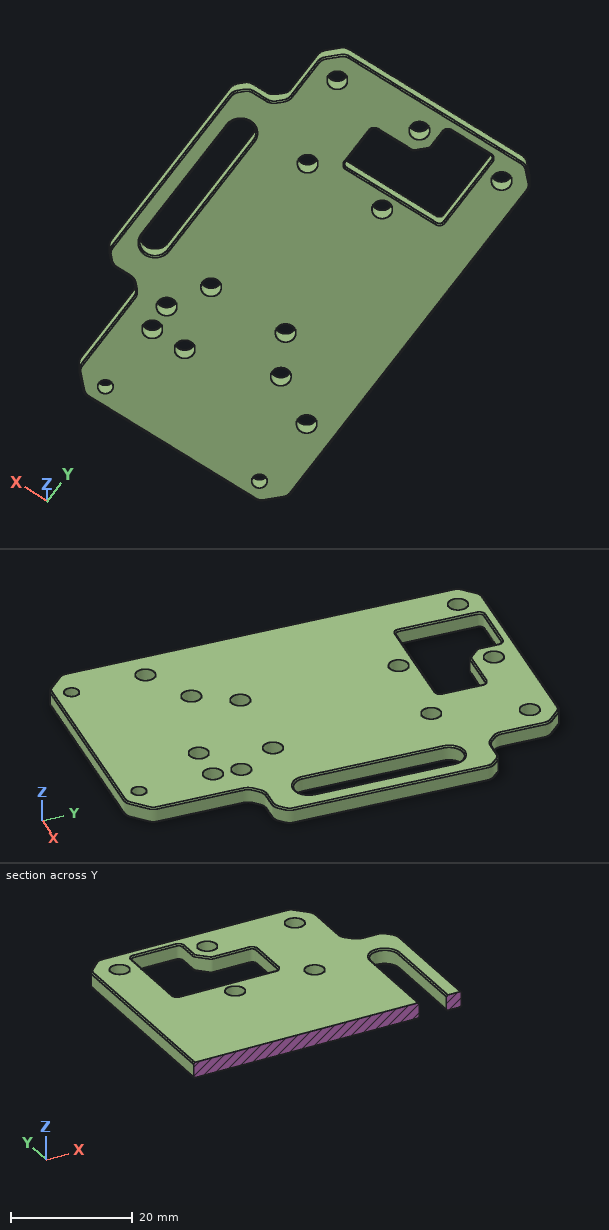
import cadquery as cq

PLATE_WIDTH = 42.25
PLATE_LENGTH = 76.8
THICKNESS = 3.0
EDGE_BREAK = 0.26

BOTTOM_CORNER_CUT = 3.5
TOP_CORNER_CUT = 3.0
CORNER_RADIUS = 2.0

OVERALL_WIDTH = 50.6
HANDLE_BOTTOM = 22.4
HANDLE_TOP = 62.45
HANDLE_CORNER_CUT = 2.0
HANDLE_ROOT_CUT = 2.0

SLOT_WIDTH = 5.1
SLOT_LENGTH = 29.95
SLOT_X = 45.2
SLOT_Y = (HANDLE_BOTTOM + HANDLE_TOP) / 2

WINDOW_LEFT = 8.15
WINDOW_STEP_X = 17.7
WINDOW_RIGHT = 27.8
WINDOW_BOTTOM = 59.45
WINDOW_STEP_Y = 68.2
WINDOW_TOP = 75.0
WINDOW_STEP_CUT = 2.15
WINDOW_RADIUS = 0.8

LARGE_HOLE = 3.4
SMALL_HOLE = 2.5
TOP_ROW_Y = 72.05
TOP_ROW_PITCH = 16.5
SQUARE_X = (17.8, 32.8)
SQUARE_Y = (28.4, 56.45)
UPPER_PAIR_X = (13.8, 36.8)
UPPER_PAIR_Y = 21.3
LOWER_ROW_X = (5.3, 29.8, 36.3)
LOWER_ROW_Y = 16.4
SMALL_HOLE_PITCH = 30.95
SMALL_HOLE_Y = 3.2


def extrude_outline(points):
    return cq.Workplane("XY").polyline(points).close().extrude(THICKNESS)


def break_rims(body):
    return body.faces("<Z or >Z").chamfer(EDGE_BREAK)


def plate():
    root_x = PLATE_WIDTH + HANDLE_ROOT_CUT
    shoulder_x = OVERALL_WIDTH - HANDLE_CORNER_CUT
    outline = [
        (BOTTOM_CORNER_CUT, 0),
        (PLATE_WIDTH - BOTTOM_CORNER_CUT, 0),
        (PLATE_WIDTH, BOTTOM_CORNER_CUT),
        (PLATE_WIDTH, HANDLE_BOTTOM - HANDLE_ROOT_CUT),
        (root_x, HANDLE_BOTTOM),
        (shoulder_x, HANDLE_BOTTOM),
        (OVERALL_WIDTH, HANDLE_BOTTOM + HANDLE_CORNER_CUT),
        (OVERALL_WIDTH, HANDLE_TOP - HANDLE_CORNER_CUT),
        (shoulder_x, HANDLE_TOP),
        (root_x, HANDLE_TOP),
        (PLATE_WIDTH, HANDLE_TOP + HANDLE_ROOT_CUT),
        (PLATE_WIDTH, PLATE_LENGTH - TOP_CORNER_CUT),
        (PLATE_WIDTH - TOP_CORNER_CUT, PLATE_LENGTH),
        (TOP_CORNER_CUT, PLATE_LENGTH),
        (0, PLATE_LENGTH - TOP_CORNER_CUT),
        (0, BOTTOM_CORNER_CUT),
    ]
    return extrude_outline(outline).edges("|Z").fillet(CORNER_RADIUS)


def window():
    outline = [
        (WINDOW_LEFT, WINDOW_BOTTOM),
        (WINDOW_RIGHT, WINDOW_BOTTOM),
        (WINDOW_RIGHT, WINDOW_STEP_Y),
        (WINDOW_STEP_X + WINDOW_STEP_CUT, WINDOW_STEP_Y),
        (WINDOW_STEP_X, WINDOW_STEP_Y + WINDOW_STEP_CUT),
        (WINDOW_STEP_X, WINDOW_TOP),
        (WINDOW_LEFT, WINDOW_TOP),
    ]
    return extrude_outline(outline).edges("|Z").fillet(WINDOW_RADIUS)


def finger_slot():
    return (
        cq.Workplane("XY")
        .center(SLOT_X, SLOT_Y)
        .slot2D(SLOT_LENGTH, SLOT_WIDTH, 90)
        .extrude(THICKNESS)
    )


def drill(body, diameter, centers):
    holes = cq.Workplane("XY").pushPoints(centers).circle(diameter / 2).extrude(THICKNESS)
    return body.cut(holes)


middle_x = PLATE_WIDTH / 2
large_centers = [(middle_x + i * TOP_ROW_PITCH, TOP_ROW_Y) for i in (-1, 0, 1)]
large_centers += [(x, y) for x in SQUARE_X for y in SQUARE_Y]
large_centers += [(x, UPPER_PAIR_Y) for x in UPPER_PAIR_X]
large_centers += [(x, LOWER_ROW_Y) for x in LOWER_ROW_X]
small_centers = [(middle_x + side * SMALL_HOLE_PITCH / 2, SMALL_HOLE_Y) for side in (-1, 1)]

result = break_rims(plate().cut(window()).cut(finger_slot()))
result = drill(result, LARGE_HOLE, large_centers)
result = drill(result, SMALL_HOLE, small_centers)